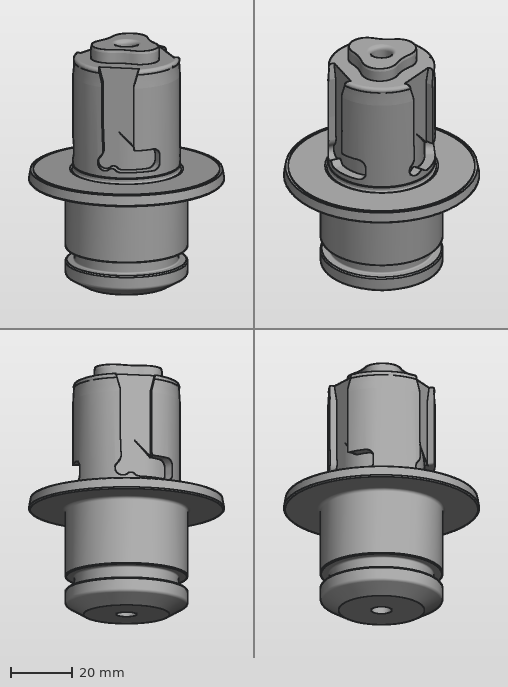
import cadquery as cq
import math

TOTAL_HEIGHT = 81.5
BODY_TOP = 77.0
BEAD_BOTTOM = 75.5
CONE_BOTTOM = 70.9
BODY_BOTTOM = 40.6
FLANGE_TOP = 38.9
FLANGE_BOTTOM = 35.0
RING_GROOVE_TOP = 12.5
RING_GROOVE_BOTTOM = 8.1

BODY_RADIUS = 35.0 / 2
NECK_RADIUS = 34.6 / 2
SHANK_RADIUS = 40.0 / 2
RING_GROOVE_RADIUS = 34.0 / 2
FLANGE_RADIUS = 63.9 / 2
FLANGE_TOP_RADIUS = 31.4
RAISED_FACE_RADIUS = 61.0 / 2
BORE_RADIUS = 6.8 / 2

BEAD_RADIUS = 1.1
NECK_CHAMFER = 0.4
RELIEF_RADIUS = 18.5
RELIEF_FILLET = 0.8
RELIEF_ANGLE = 20.0
RAISED_FACE_STEP = 0.25
FLANGE_CHAMFER = 0.5
FLANGE_FILLET = 1.0
RING_GROOVE_EDGE = 0.5
SHANK_RIM_CHAMFER = 0.3
TIP_RADIUS = 14.0
TIP_ANGLE = 30.0
TIP_FILLET = 1.15
BORE_FILLET = 1.5

LOBE_COUNT = 3
LOBE_CENTER_RADIUS = 5.8
LOBE_RADIUS = 6.2
WAIST_RADIUS = 25.0 / 2
WAIST_LINE = 1.7
BOSS_CHAMFER_HEIGHT = 1.0
BOSS_CHAMFER_WIDTH = 0.25

TRACK_COUNT = 3
FLOOR_RADIUS = 28.1 / 2
SLOT_HALF_WIDTH = 5.3
SLOT_MOUTH_HALF_WIDTH = 6.6
SLOT_MOUTH_BOTTOM = 71.9
SLOT_TAPER_TOP = 57.95
SLOT_TAPER_HALF_WIDTH = 5.0
SLOT_SHOULDER_Z = 49.5
BULB_Y = 4.4
BULB_Z = 45.15
BULB_RADIUS = 2.45
BUMP_Y = 1.8
BUMP_TOP = 43.7
TRACK_BOTTOM = 42.5
TRACK_TOP = 49.8
TRACK_FLAT_Y = -1.0
TRACK_CORNER = 0.65
TRACK_NOSE_ANGLE = 39.5
TRACK_NOSE_RADIUS = 2.7
CUTTER_REACH = 24.45


def point_between(start, end, distance):
    """Point at the given distance from start on the way to end."""
    share = distance / math.dist(start, end)
    return (start[0] + (end[0] - start[0]) * share, start[1] + (end[1] - start[1]) * share)


def point_on_circle(center, radius, degrees):
    angle = math.radians(degrees)
    return (center[0] + radius * math.cos(angle), center[1] + radius * math.sin(angle))


def turned_body():
    bead_center = (NECK_RADIUS - BEAD_RADIUS, BODY_TOP - BEAD_RADIUS)
    bead_drop = bead_center[1] - BEAD_BOTTOM
    bead_end_radius = bead_center[0] + math.sqrt(BEAD_RADIUS**2 - bead_drop**2)
    neck_end = BODY_BOTTOM - NECK_CHAMFER
    relief_slope = math.radians(RELIEF_ANGLE)
    relief_low_radius = NECK_RADIUS + RELIEF_FILLET * (1 - math.sin(relief_slope))
    relief_low_z = FLANGE_TOP - (RELIEF_RADIUS - relief_low_radius) * math.tan(relief_slope)
    relief_center = (
        NECK_RADIUS + RELIEF_FILLET,
        relief_low_z + RELIEF_FILLET * math.cos(relief_slope),
    )
    tip_height = (SHANK_RADIUS - TIP_RADIUS) * math.tan(math.radians(TIP_ANGLE))
    tip_tangent = TIP_FILLET * math.tan(math.radians(90 - TIP_ANGLE) / 2)
    tip_fillet_center = (SHANK_RADIUS - TIP_FILLET, tip_height + tip_tangent)
    flange_fillet_center = (SHANK_RADIUS + FLANGE_FILLET, FLANGE_BOTTOM - FLANGE_FILLET)
    edge = RING_GROOVE_EDGE
    upper_groove_center = (RING_GROOVE_RADIUS + edge, RING_GROOVE_TOP - edge)
    lower_groove_center = (RING_GROOVE_RADIUS + edge, RING_GROOVE_BOTTOM + edge)

    profile = (
        cq.Workplane("XZ")
        .lineTo(TIP_RADIUS, 0)
        .lineTo(*point_on_circle(tip_fillet_center, TIP_FILLET, TIP_ANGLE - 90))
        .threePointArc(
            point_on_circle(tip_fillet_center, TIP_FILLET, (TIP_ANGLE - 90) / 2),
            (SHANK_RADIUS, tip_fillet_center[1]),
        )
        .lineTo(SHANK_RADIUS, RING_GROOVE_BOTTOM - edge)
        .lineTo(SHANK_RADIUS - edge, RING_GROOVE_BOTTOM)
        .lineTo(lower_groove_center[0], RING_GROOVE_BOTTOM)
        .threePointArc(
            point_on_circle(lower_groove_center, edge, 225),
            (RING_GROOVE_RADIUS, lower_groove_center[1]),
        )
        .lineTo(RING_GROOVE_RADIUS, upper_groove_center[1])
        .threePointArc(
            point_on_circle(upper_groove_center, edge, 135),
            (upper_groove_center[0], RING_GROOVE_TOP),
        )
        .lineTo(SHANK_RADIUS - SHANK_RIM_CHAMFER, RING_GROOVE_TOP)
        .lineTo(SHANK_RADIUS, RING_GROOVE_TOP + SHANK_RIM_CHAMFER)
        .lineTo(SHANK_RADIUS, flange_fillet_center[1])
        .threePointArc(
            point_on_circle(flange_fillet_center, FLANGE_FILLET, 135),
            (flange_fillet_center[0], FLANGE_BOTTOM),
        )
        .lineTo(FLANGE_RADIUS - FLANGE_CHAMFER, FLANGE_BOTTOM)
        .lineTo(FLANGE_RADIUS, FLANGE_BOTTOM + FLANGE_CHAMFER)
        .lineTo(FLANGE_TOP_RADIUS, FLANGE_TOP - RAISED_FACE_STEP)
        .lineTo(RAISED_FACE_RADIUS, FLANGE_TOP - RAISED_FACE_STEP)
        .lineTo(RAISED_FACE_RADIUS, FLANGE_TOP)
        .lineTo(RELIEF_RADIUS, FLANGE_TOP)
        .lineTo(relief_low_radius, relief_low_z)
        .threePointArc(
            point_on_circle(relief_center, RELIEF_FILLET, 225 - RELIEF_ANGLE / 2),
            (NECK_RADIUS, relief_center[1]),
        )
        .lineTo(NECK_RADIUS, neck_end)
        .lineTo(BODY_RADIUS, BODY_BOTTOM)
        .lineTo(BODY_RADIUS, CONE_BOTTOM)
        .lineTo(bead_end_radius, BEAD_BOTTOM)
        .threePointArc(
            (NECK_RADIUS, bead_center[1]),
            (bead_center[0], BODY_TOP),
        )
        .lineTo(0, BODY_TOP)
        .close()
    )
    return profile.revolve(360, (0, 0, 0), (0, 1, 0))


def boss_section():
    """Three-lobed outline of the boss."""
    radii_sum = LOBE_RADIUS + WAIST_RADIUS
    center_gap = math.hypot(radii_sum, WAIST_LINE)
    half_pitch = math.radians(180 / LOBE_COUNT)
    lobe = point_on_circle((0, 0), LOBE_CENTER_RADIUS, -180 / LOBE_COUNT)
    waist_center_x = lobe[0] + math.sqrt(center_gap**2 - lobe[1] ** 2)
    to_waist = math.atan2(-lobe[1], waist_center_x - lobe[0])
    normal = to_waist - math.atan2(WAIST_LINE, radii_sum)
    lobe_point = point_on_circle(lobe, LOBE_RADIUS, math.degrees(normal))
    waist_point = point_on_circle((waist_center_x, 0), -WAIST_RADIUS, math.degrees(normal))

    def turned(point, angle):
        return (
            point[0] * math.cos(angle) - point[1] * math.sin(angle),
            point[0] * math.sin(angle) + point[1] * math.cos(angle),
        )

    waist_middle = (waist_center_x - WAIST_RADIUS, 0)
    mirrored_lobe_point = (lobe_point[0], -lobe_point[1])
    mirrored_waist_point = (waist_point[0], -waist_point[1])
    lobe_tip = (LOBE_CENTER_RADIUS + LOBE_RADIUS, 0)
    outline = cq.Workplane("XY").moveTo(*turned(lobe_point, half_pitch))
    for index in range(LOBE_COUNT):
        angle = half_pitch * (2 * index + 1)
        next_angle = angle + 2 * half_pitch
        outline = (
            outline.lineTo(*turned(waist_point, angle))
            .threePointArc(turned(waist_middle, angle), turned(mirrored_waist_point, angle))
            .lineTo(*turned(mirrored_lobe_point, angle))
            .threePointArc(turned(lobe_tip, angle + half_pitch), turned(lobe_point, next_angle))
        )
    return outline.close()


def boss():
    straight_height = TOTAL_HEIGHT - BODY_TOP - BOSS_CHAMFER_HEIGHT
    taper = math.degrees(math.atan2(BOSS_CHAMFER_WIDTH, BOSS_CHAMFER_HEIGHT))
    lower = boss_section().extrude(straight_height)
    upper = boss_section().extrude(BOSS_CHAMFER_HEIGHT, taper=taper)
    return lower.union(upper.translate((0, 0, straight_height))).translate((0, 0, BODY_TOP))


def bore():
    cutter = cq.Workplane("XY").circle(BORE_RADIUS).extrude(TOTAL_HEIGHT)
    mouth = (
        cq.Workplane("XZ")
        .moveTo(0, TOTAL_HEIGHT)
        .lineTo(BORE_RADIUS + BORE_FILLET, TOTAL_HEIGHT)
        .threePointArc(
            point_on_circle(
                (BORE_RADIUS + BORE_FILLET, TOTAL_HEIGHT - BORE_FILLET), BORE_FILLET, 135
            ),
            (BORE_RADIUS, TOTAL_HEIGHT - BORE_FILLET),
        )
        .lineTo(0, TOTAL_HEIGHT - BORE_FILLET)
        .close()
        .revolve(360, (0, 0, 0), (0, 1, 0))
    )
    return cutter.union(mouth)


def slot(floor_distance):
    """Slot on the -X side, down to the bulb and the bump beside it, with a flat floor."""
    bulb = (BULB_Y, BULB_Z)
    drop = SLOT_SHOULDER_Z - BULB_Z
    overhang = SLOT_TAPER_HALF_WIDTH - BULB_Y
    shoulder_radius = (drop**2 + overhang**2 - BULB_RADIUS**2) / (2 * (BULB_RADIUS - overhang))
    shoulder = (SLOT_TAPER_HALF_WIDTH + shoulder_radius, SLOT_SHOULDER_Z)
    shoulder_end = point_between(bulb, shoulder, BULB_RADIUS)
    shoulder_sweep = math.degrees(math.atan2(drop, shoulder[0] - BULB_Y))
    shoulder_middle = point_on_circle(shoulder, shoulder_radius, 180 + shoulder_sweep / 2)
    rise = BULB_Z - BUMP_TOP
    offset = BULB_Y - BUMP_Y
    bump_radius = (offset**2 + rise**2 - BULB_RADIUS**2) / (2 * (BULB_RADIUS - rise))
    bump = (BUMP_Y, BUMP_TOP - bump_radius)
    bump_start = point_between(bulb, bump, BULB_RADIUS)
    depth = TRACK_BOTTOM - bump[1]
    reach = BUMP_Y - TRACK_FLAT_Y
    foot_radius = (reach**2 + depth**2 - bump_radius**2) / (2 * (bump_radius - depth))
    foot = (TRACK_FLAT_Y, TRACK_BOTTOM + foot_radius)
    bump_end = point_between(bump, foot, bump_radius)
    foot_middle = point_between(foot, ((TRACK_FLAT_Y + bump_end[0]) / 2, TRACK_BOTTOM), foot_radius)
    corner_center = (-SLOT_HALF_WIDTH - TRACK_CORNER, TRACK_TOP + TRACK_CORNER)

    outline = (
        cq.Workplane("YZ", origin=(-floor_distance, 0, 0))
        .moveTo(SLOT_MOUTH_HALF_WIDTH, BODY_TOP)
        .lineTo(SLOT_HALF_WIDTH, SLOT_MOUTH_BOTTOM)
        .lineTo(SLOT_HALF_WIDTH, SLOT_TAPER_TOP)
        .lineTo(SLOT_TAPER_HALF_WIDTH, SLOT_SHOULDER_Z)
        .threePointArc(shoulder_middle, shoulder_end)
        .threePointArc(point_on_circle(bulb, BULB_RADIUS, -45), bump_start)
        .threePointArc((BUMP_Y, BUMP_TOP), bump_end)
        .threePointArc(foot_middle, (TRACK_FLAT_Y, TRACK_BOTTOM))
        .lineTo(corner_center[0], TRACK_BOTTOM)
        .lineTo(corner_center[0], TRACK_TOP)
        .threePointArc(
            point_on_circle(corner_center, TRACK_CORNER, -45), (-SLOT_HALF_WIDTH, corner_center[1])
        )
        .lineTo(-SLOT_HALF_WIDTH, SLOT_MOUTH_BOTTOM)
        .lineTo(-SLOT_MOUTH_HALF_WIDTH, BODY_TOP)
        .close()
    )
    return outline.extrude(-CUTTER_REACH)


def groove():
    """Round-floored groove from the slot to its rounded nose, with a ramp rising into the slot."""
    height = TRACK_TOP - TRACK_BOTTOM
    start_angle = 180 + TRACK_NOSE_ANGLE / 3
    nose_angle = 180 + TRACK_NOSE_ANGLE
    sector = (
        cq.Workplane("XY", origin=(0, 0, TRACK_BOTTOM))
        .lineTo(*point_on_circle((0, 0), CUTTER_REACH, start_angle))
        .threePointArc(
            point_on_circle((0, 0), CUTTER_REACH, (start_angle + nose_angle) / 2),
            point_on_circle((0, 0), CUTTER_REACH, nose_angle),
        )
        .close()
        .extrude(height)
    )
    nose = (
        cq.Workplane("XY")
        .box(CUTTER_REACH, 2 * TRACK_NOSE_RADIUS, height, centered=(False, True, False))
        .edges("|X and >Y")
        .fillet(TRACK_NOSE_RADIUS)
        .translate((FLOOR_RADIUS, 0, TRACK_BOTTOM))
        .rotate((0, 0, 0), (0, 0, 1), nose_angle)
    )
    ramp = (
        cq.Workplane("YZ")
        .moveTo(0, TRACK_BOTTOM)
        .lineTo(0, TRACK_TOP + SLOT_HALF_WIDTH)
        .lineTo(-SLOT_HALF_WIDTH, TRACK_TOP)
        .lineTo(-SLOT_HALF_WIDTH, TRACK_BOTTOM)
        .close()
        .extrude(-CUTTER_REACH)
        .intersect(slot(0))
    )
    core = cq.Workplane("XY").circle(FLOOR_RADIUS).extrude(BODY_TOP)
    return sector.union(ramp).cut(core).union(nose)


result = turned_body().union(boss()).cut(bore())
slot_cutter = slot(FLOOR_RADIUS)
groove_cutter = groove()
for track in range(TRACK_COUNT):
    turn = 360 / TRACK_COUNT * track
    for cutter in (slot_cutter, groove_cutter):
        result = result.cut(cutter.rotate((0, 0, 0), (0, 0, 1), turn))